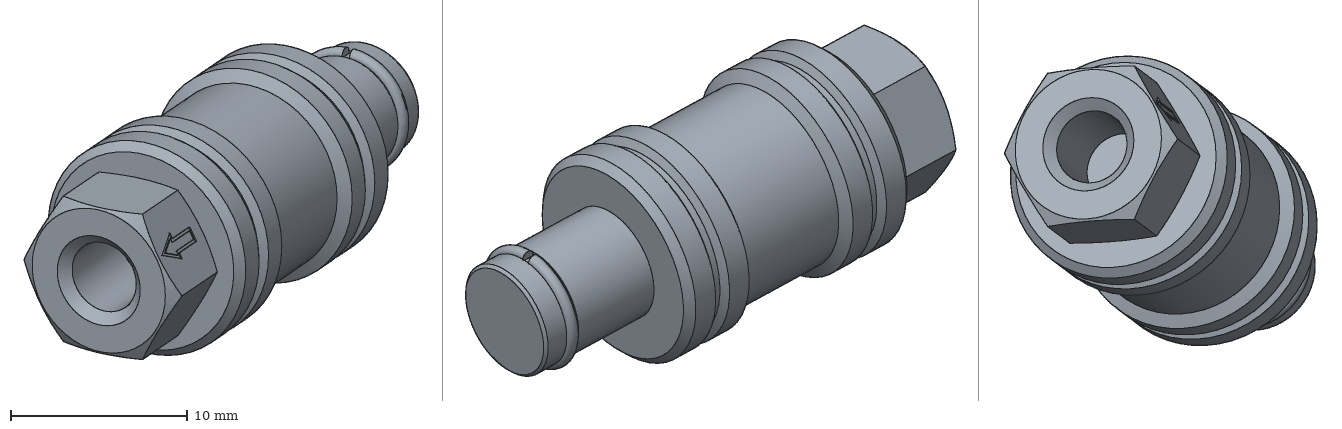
import cadquery as cq
import math

TOTAL_LENGTH = 30.3

HEX_LENGTH = 4.95
HEX_FLATS = 9.0
HEX_CORNERS = HEX_FLATS / math.cos(math.radians(30))
HEX_CHAMFER_DIA = 8.75
HEX_CHAMFER_ANGLE = 30.0

BORE_DIA = 4.2
BORE_MOUTH_DIA = 5.45
BORE_DEPTH = 6.05

BARREL_DIA = 11.5
BARREL_END = 22.03
COLLAR_DIA = 13.0
COLLAR_FACE_DIA = 12.0
COLLAR_GROOVE_DIA = 12.0
COLLAR_LENGTH = 5.0
COLLAR_RIM_WIDTH = 1.5
COLLAR_GROOVE_FLOOR = 0.48
COLLAR_SLOPE = 30.0

TUBE_DIA = 7.0
TUBE_END_DIA = 6.65

RING_WIRE_DIA = 0.8
RING_OUTER_DIA = 7.7
RING_GAP = 0.48
RING_GROOVE_REAR = 28.7
RING_GROOVE_WIDTH = 0.9
RING_CENTRE_RADIUS = (RING_OUTER_DIA - RING_WIRE_DIA) / 2
RING_GROOVE_DIA = 6.7
RING_Y = RING_GROOVE_REAR - RING_WIRE_DIA / 2

ARROW_TIP = 0.45
ARROW_HEAD_BASE = 2.03
ARROW_TAIL = 3.97
ARROW_SHAFT_WIDTH = 0.9
ARROW_HEAD_WIDTH = 1.65
ARROW_LINE_WIDTH = 0.18
ARROW_DEPTH = 0.1
ARROW_TILT = 60.0


def turn(points):
    """Revolve a closed (radius, y) outline about the Y axis."""
    return cq.Workplane("XY").polyline(points).close().revolve(360, (0, 0, 0), (0, 1, 0))


def make_collar():
    """Collar with its chamfered face at y = 0 and its barrel side toward +Y."""
    rim = COLLAR_DIA / 2
    face = COLLAR_FACE_DIA / 2
    floor = COLLAR_GROOVE_DIA / 2
    barrel = BARREL_DIA / 2
    slope = math.tan(math.radians(COLLAR_SLOPE))
    wall = (rim - floor) * slope
    first_rim_start = rim - face
    first_rim_end = first_rim_start + COLLAR_RIM_WIDTH
    floor_start = first_rim_end + wall
    floor_end = floor_start + COLLAR_GROOVE_FLOOR
    second_rim_start = floor_end + wall
    second_rim_end = COLLAR_LENGTH - (rim - barrel) * slope
    return turn([
        (0, 0),
        (face, 0),
        (rim, first_rim_start),
        (rim, first_rim_end),
        (floor, floor_start),
        (floor, floor_end),
        (rim, second_rim_start),
        (rim, second_rim_end),
        (barrel, COLLAR_LENGTH),
        (0, COLLAR_LENGTH),
    ])


def make_hexagon():
    """Hexagonal prism with corners on the X axis, chamfered at both ends."""
    prism = cq.Workplane("XZ").polygon(6, HEX_CORNERS).extrude(-HEX_LENGTH)
    face = HEX_CHAMFER_DIA / 2
    corner = HEX_CORNERS / 2
    chamfer = (corner - face) * math.tan(math.radians(HEX_CHAMFER_ANGLE))
    envelope = turn([
        (0, 0),
        (face, 0),
        (corner, chamfer),
        (corner, HEX_LENGTH - chamfer),
        (face, HEX_LENGTH),
        (0, HEX_LENGTH),
    ])
    return prism.intersect(envelope)


def make_tube():
    """Rear tube with a chamfered end and the snap ring groove."""
    radius = TUBE_DIA / 2
    end = TUBE_END_DIA / 2
    floor = RING_GROOVE_DIA / 2
    groove_front = RING_GROOVE_REAR - RING_GROOVE_WIDTH
    return turn([
        (0, BARREL_END),
        (radius, BARREL_END),
        (radius, groove_front),
        (floor, groove_front),
        (floor, RING_GROOVE_REAR),
        (radius, RING_GROOVE_REAR),
        (radius, TOTAL_LENGTH - (radius - end)),
        (end, TOTAL_LENGTH),
        (0, TOTAL_LENGTH),
    ])


def make_bore():
    """Blind bore with a 45 degree countersunk mouth."""
    radius = BORE_DIA / 2
    mouth = BORE_MOUTH_DIA / 2
    return turn([
        (0, 0),
        (mouth, 0),
        (radius, mouth - radius),
        (radius, BORE_DEPTH),
        (0, BORE_DEPTH),
    ])


def make_arrow():
    """Cutter for the engraved arrow outline."""
    shaft = ARROW_SHAFT_WIDTH / 2
    head = ARROW_HEAD_WIDTH / 2
    outline = cq.Workplane("XY", origin=(0, 0, HEX_FLATS / 2)).polyline([
        (0, ARROW_TIP),
        (head, ARROW_HEAD_BASE),
        (shaft, ARROW_HEAD_BASE),
        (shaft, ARROW_TAIL),
        (-shaft, ARROW_TAIL),
        (-shaft, ARROW_HEAD_BASE),
        (-head, ARROW_HEAD_BASE),
    ]).close()
    outer = outline.extrude(-ARROW_DEPTH)
    inset = outer.faces(">Z").wires().toPending().offset2D(-ARROW_LINE_WIDTH, "intersection")
    island = inset.extrude(-ARROW_DEPTH, combine=False)
    return outer.cut(island).rotate((0, 0, 0), (0, 1, 0), ARROW_TILT)


def make_body():
    """Hexagon, barrel, collars and tube as one solid."""
    barrel_length = BARREL_END - HEX_LENGTH
    barrel = cq.Workplane("XZ", origin=(0, HEX_LENGTH, 0)).circle(BARREL_DIA / 2).extrude(-barrel_length)
    front_collar = make_collar().translate((0, HEX_LENGTH, 0))
    rear_collar = make_collar().mirror("XZ").translate((0, BARREL_END, 0))
    solid = barrel.union(front_collar).union(rear_collar).union(make_hexagon()).union(make_tube())
    return solid.cut(make_bore()).cut(make_arrow())


def make_snap_ring():
    """Round wire ring, split at the top and flattened where it sits on the groove floor."""
    ring = (
        cq.Workplane("XY")
        .center(RING_CENTRE_RADIUS, RING_Y)
        .circle(RING_WIRE_DIA / 2)
        .revolve(360, (-RING_CENTRE_RADIUS, 0, 0), (-RING_CENTRE_RADIUS, 1, 0))
    )
    gap = (
        cq.Workplane("XY", origin=(0, RING_Y, 0))
        .rect(RING_GAP, RING_WIRE_DIA * 2)
        .extrude(RING_OUTER_DIA)
    )
    groove_floor = (
        cq.Workplane("XZ", origin=(0, RING_Y, 0))
        .circle(RING_GROOVE_DIA / 2)
        .extrude(RING_WIRE_DIA, both=True)
    )
    return ring.cut(gap).cut(groove_floor)


body = make_body()
snap_ring = make_snap_ring()

result = cq.Compound.makeCompound([body.val(), snap_ring.val()])